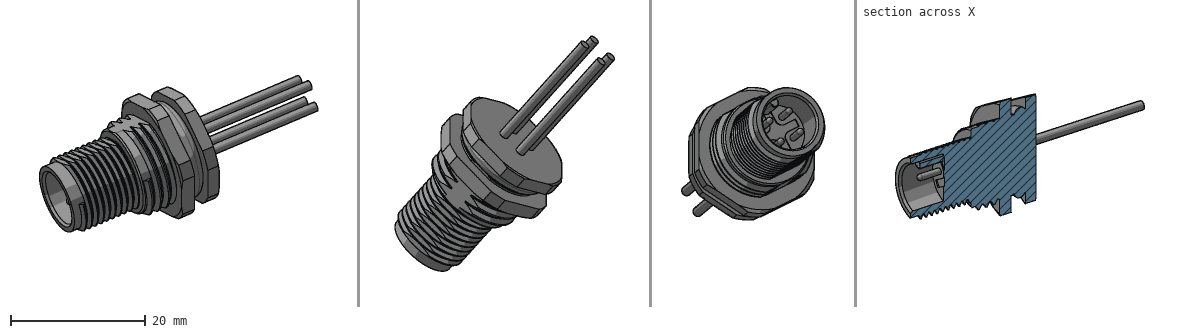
import cadquery as cq
import math


OVERALL_LENGTH = 43.0
SHOULDER_Y = 11.05
NUT_FRONT = 16.25
NUT_REAR = 18.5
REAR_HEX_FRONT = 21.03
REAR_HEX_REAR = 23.0

FRONT_ROOT_RADIUS = 10.55 / 2
FRONT_CREST_RADIUS = 11.85 / 2
FRONT_THREAD_START = 1.6
FRONT_THREAD_LENGTH = 10.0
FRONT_THREAD_TURNS = 10
FRONT_FLAT_DISTANCE = 5.3
REAR_ROOT_RADIUS = 13.65 / 2
REAR_CREST_RADIUS = 15.05 / 2
REAR_THREAD_START = 12.05
REAR_THREAD_LENGTH = 5.65
REAR_THREAD_TURNS = 4
REAR_FLAT_DISTANCE = 6.65
COLLAR_RADIUS = 6.95
COLLAR_REAR = 18.8
SHOULDER_CHAMFER = 0.25
SHOULDER_OVERLAP = 1.3
THREAD_BASE_SHARE = 0.95
THREAD_CREST_SHARE = 0.18
THREAD_EMBED = 0.1
THREAD_START_ANGLE = 30.0
FLAT_ANGLE = 120.0
CORE_SEAM_ANGLE = 75.0

NUT_FLATS = 18.0
NUT_CORNER_RADIUS = 19.5 / 2
NUT_FACE_RADIUS = 9.2
NUT_CHAMFER_DEPTH = 0.2
REAR_HEX_FLATS = 17.0
REAR_HEX_CORNER_RADIUS = 9.05
REAR_HEX_FACE_RADIUS = 8.7
REAR_HEX_CHAMFER_DEPTH = 0.15

SEAL_OUTER_RADIUS = 7.75
SEAL_SECTION_RADIUS = 1.08
SEAL_COMPRESSION = 0.1
SEAL_CENTRE_Y = REAR_HEX_FRONT - SEAL_SECTION_RADIUS + SEAL_COMPRESSION

BORE_RADIUS = 4.15
BORE_MOUTH_RADIUS = 4.47
BORE_MOUTH_DEPTH = 0.45
BORE_DEPTH = 6.0
KEY_RADIUS = 0.6
KEY_CENTRE_RADIUS = 3.65
KEY_FRONT = 1.7
KEY_CHAMFER = 0.15
CROSS_REACH = 3.53
CROSS_WIDTH = 1.2
CROSS_FILLET = 1.05
CROSS_DEPTH = 0.2
CROSS_ANGLE = 30.0
CONTACT_ANGLES = [75.0 + 90.0 * i for i in range(4)]
CONTACT_CIRCLE_RADIUS = 2.5
PIN_RADIUS = 0.5
PIN_FRONT = 2.05
PIN_TIP_FILLET = 0.47
CABLE_RADIUS = 0.75
ROOT_OVERLAP = 0.45


def cross_section(y):
    """Workplane across the axis at y: local x is X, local y is Z, extruding toward -Y."""
    return cq.Workplane("XZ", origin=(0, y, 0))


def cylinder(radius, y_start, y_end):
    return cross_section(y_end).circle(radius).extrude(y_end - y_start)


def polar(radius, angle):
    return radius * math.cos(math.radians(angle)), radius * math.sin(math.radians(angle))


def trim_to_flats(solid, distance):
    """Keep the part of the solid between two parallel flats facing FLAT_ANGLE and its opposite."""
    slab = cq.Workplane("XY").box(2 * distance, 2 * OVERALL_LENGTH, 2 * OVERALL_LENGTH)
    return solid.intersect(slab.rotate((0, 0, 0), (0, 1, 0), -FLAT_ANGLE))


def thread(root_radius, crest_radius, y_start, length, turns):
    """Right-hand trapezoidal thread ridge along +Y, its base sunk slightly below the root."""
    pitch = length / turns
    base_radius = root_radius - THREAD_EMBED
    half_base = THREAD_BASE_SHARE * pitch / 2
    half_crest = THREAD_CREST_SHARE * pitch / 2
    helix = cq.Wire.makeHelix(pitch, length, root_radius)
    profile = cq.Workplane("XZ").polyline([
        (base_radius, -half_base),
        (crest_radius, -half_crest),
        (crest_radius, half_crest),
        (base_radius, half_base),
    ]).close()
    ridge = profile.sweep(cq.Workplane(helix), isFrenet=True)
    ridge = ridge.rotate((0, 0, 0), (1, 0, 0), -90).rotate((0, 0, 0), (0, 1, 0), -THREAD_START_ANGLE)
    return ridge.translate((0, y_start, 0))


def threaded_core(core, ridge, flat_distance):
    """Thread on a core, flattened on two sides. The core is turned so its seam clears the thread start."""
    turned_core = core.rotate((0, 0, 0), (0, 1, 0), CORE_SEAM_ANGLE)
    return trim_to_flats(turned_core.union(ridge), flat_distance)


def threaded_body():
    front_core = cylinder(FRONT_ROOT_RADIUS, 0, SHOULDER_Y + SHOULDER_OVERLAP)
    front_ridge = thread(FRONT_ROOT_RADIUS, FRONT_CREST_RADIUS,
                         FRONT_THREAD_START, FRONT_THREAD_LENGTH, FRONT_THREAD_TURNS)
    rear_core = cylinder(REAR_ROOT_RADIUS, SHOULDER_Y, REAR_HEX_FRONT)
    rear_core = rear_core.faces("<Y").chamfer(SHOULDER_CHAMFER)
    rear_ridge = thread(REAR_ROOT_RADIUS, REAR_CREST_RADIUS,
                        REAR_THREAD_START, REAR_THREAD_LENGTH, REAR_THREAD_TURNS)
    front = threaded_core(front_core, front_ridge, FRONT_FLAT_DISTANCE)
    rear = threaded_core(rear_core, rear_ridge, REAR_FLAT_DISTANCE)
    collar = trim_to_flats(cylinder(COLLAR_RADIUS, NUT_REAR, COLLAR_REAR), REAR_FLAT_DISTANCE)
    return rear.union(front).union(collar)


def rounded_hexagon(flats, corner_radius, y_start, y_end, face_radius, chamfer_depth, chamfer_side):
    """Hexagon with flats facing +X and -X, corners turned down, and one face chamfered."""
    corner_circle = flats / math.cos(math.radians(30))
    hexagon = cross_section(y_end).polygon(6, corner_circle).extrude(y_end - y_start)
    hexagon = hexagon.rotate((0, 0, 0), (0, 1, 0), 30)
    turned = cylinder(corner_radius, y_start, y_end)
    turned = turned.faces(chamfer_side).edges().chamfer(chamfer_depth, corner_radius - face_radius)
    return hexagon.intersect(turned)


def sealing_ring():
    ring_radius = SEAL_OUTER_RADIUS - SEAL_SECTION_RADIUS
    section = cq.Workplane("XY").center(ring_radius, SEAL_CENTRE_Y).circle(SEAL_SECTION_RADIUS)
    return section.revolve(360, (-ring_radius, 0), (-ring_radius, 1))


def socket():
    """Blind bore with a tapered mouth."""
    mouth = cq.Workplane("XY").polyline([
        (0, 0),
        (BORE_MOUTH_RADIUS, 0),
        (BORE_RADIUS, BORE_MOUTH_DEPTH),
        (BORE_RADIUS, BORE_DEPTH),
        (0, BORE_DEPTH),
    ]).close()
    return mouth.revolve(360, (0, 0), (0, 1))


def key_rib():
    """Round-nosed key on the bore wall, joined to the wall by a web of the same width."""
    rib = cylinder(KEY_RADIUS, KEY_FRONT, BORE_DEPTH).faces("<Y").chamfer(KEY_CHAMFER)
    web_length = BORE_RADIUS + KEY_RADIUS - KEY_CENTRE_RADIUS
    web = cross_section(BORE_DEPTH).rect(web_length, 2 * KEY_RADIUS).extrude(BORE_DEPTH - KEY_FRONT)
    rib = rib.union(web.translate((web_length / 2, 0, 0)))
    rib = rib.translate((KEY_CENTRE_RADIUS, 0, 0)).rotate((0, 0, 0), (0, 1, 0), -FLAT_ANGLE)
    return rib.intersect(cylinder(BORE_RADIUS + ROOT_OVERLAP, 0, BORE_DEPTH))


def cross_recess():
    floor = BORE_DEPTH + CROSS_DEPTH
    arm = cross_section(floor).rect(2 * CROSS_REACH, CROSS_WIDTH).extrude(CROSS_DEPTH)
    cross = arm.union(arm.rotate((0, 0, 0), (0, 1, 0), 90))
    corner = 0.6 * CROSS_WIDTH
    inner_edges = cq.selectors.BoxSelector((-corner, 0, -corner), (corner, OVERALL_LENGTH, corner))
    cross = cross.edges("|Y").edges(inner_edges).fillet(CROSS_FILLET)
    return cross.rotate((0, 0, 0), (0, 1, 0), -CROSS_ANGLE)


def contact(angle):
    """One contact pin in the socket and the cable that leaves the rear on the same line."""
    x, z = polar(CONTACT_CIRCLE_RADIUS, angle)
    pin = cylinder(PIN_RADIUS, PIN_FRONT, BORE_DEPTH + ROOT_OVERLAP)
    pin = pin.faces("<Y").edges().fillet(PIN_TIP_FILLET)
    cable = cylinder(CABLE_RADIUS, REAR_HEX_REAR - ROOT_OVERLAP, OVERALL_LENGTH)
    return pin.translate((x, 0, z)), cable.translate((x, 0, z))


nut = rounded_hexagon(NUT_FLATS, NUT_CORNER_RADIUS, NUT_FRONT, NUT_REAR,
                      NUT_FACE_RADIUS, NUT_CHAMFER_DEPTH, "<Y")
rear_hex = rounded_hexagon(REAR_HEX_FLATS, REAR_HEX_CORNER_RADIUS, REAR_HEX_FRONT, REAR_HEX_REAR,
                           REAR_HEX_FACE_RADIUS, REAR_HEX_CHAMFER_DEPTH, ">Y")
result = threaded_body().union(nut).union(rear_hex).union(sealing_ring())
result = result.cut(socket()).cut(cross_recess()).union(key_rib())
for contact_angle in CONTACT_ANGLES:
    for piece in contact(contact_angle):
        result = result.union(piece)